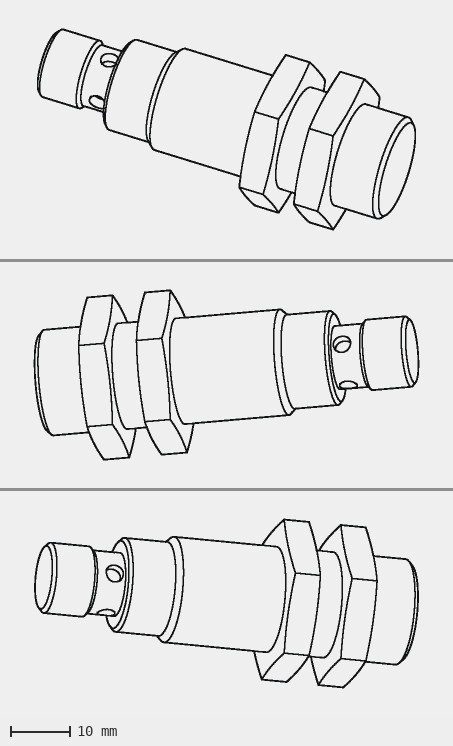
import cadquery as cq
import math

total_length = 63.5
plug_end = 7.95
collar_start = 12.9
collar_end = 20.95
barrel_start = 22.05

plug_diameter = 12.0
neck_diameter = 10.8
collar_diameter = 16.0
barrel_diameter = 18.0

plug_chamfer = 0.65
collar_chamfer = 0.6
barrel_chamfer = 0.75

neck_hole_diameter = 3.0
neck_hole_x = 11.0
neck_core_diameter = 7.0
neck_hole_angles = (0, 90, 180, 270)

nut_across_flats = 24.0
nut_thickness = 5.0
nut_chamfer_diameter = 23.75
nut_chamfer_length = 0.3
nut_spacing = 10.0
first_nut_x = 40.0
nut_positions = (first_nut_x, first_nut_x + nut_spacing)
nut_corner_radius = nut_across_flats / math.sqrt(3)


def revolve_about_x(outline):
    """Revolve a closed (x, radius) outline about the X axis."""
    return cq.Workplane("XY").polyline(outline).close().revolve(360, (0, 0, 0), (1, 0, 0))


def make_body():
    plug_radius = plug_diameter / 2
    neck_radius = neck_diameter / 2
    collar_radius = collar_diameter / 2
    barrel_radius = barrel_diameter / 2
    plug_rear_chamfer = plug_radius - neck_radius
    body = revolve_about_x([
        (0, 0),
        (0, plug_radius - plug_chamfer),
        (plug_chamfer, plug_radius),
        (plug_end - plug_rear_chamfer, plug_radius),
        (plug_end, neck_radius),
        (collar_start, neck_radius),
        (collar_start, collar_radius - collar_chamfer),
        (collar_start + collar_chamfer, collar_radius),
        (collar_end, collar_radius),
        (barrel_start, barrel_radius),
        (total_length - barrel_chamfer, barrel_radius),
        (total_length, barrel_radius - barrel_chamfer),
        (total_length, 0),
    ])
    for angle in neck_hole_angles:
        body = body.cut(make_neck_hole(angle))
    return body


def make_neck_hole(angle):
    """Cutter for one radial hole, turned about the X axis from +Z and floored by the core."""
    drill = (
        cq.Workplane("XY", origin=(neck_hole_x, 0, 0))
        .circle(neck_hole_diameter / 2)
        .extrude(neck_diameter)
    )
    core = cq.Workplane("YZ").circle(neck_core_diameter / 2).extrude(collar_start)
    return drill.cut(core).rotate((0, 0, 0), (1, 0, 0), angle)


def make_nut(start_x):
    """Nut with corners on the Y axis, conical end chamfers and a bore that fits the barrel."""
    chamfer_radius = nut_chamfer_diameter / 2
    hexagon = (
        cq.Workplane("YZ")
        .polygon(6, 2 * nut_corner_radius)
        .circle(barrel_diameter / 2)
        .extrude(nut_thickness)
    )
    chamfer_envelope = revolve_about_x([
        (0, 0),
        (0, chamfer_radius),
        (nut_chamfer_length, nut_corner_radius),
        (nut_thickness - nut_chamfer_length, nut_corner_radius),
        (nut_thickness, chamfer_radius),
        (nut_thickness, 0),
    ])
    return hexagon.intersect(chamfer_envelope).translate((start_x, 0, 0))


body = make_body()
nuts = [make_nut(start_x) for start_x in nut_positions]

result = cq.Compound.makeCompound([body.solids().val(), *[nut.solids().val() for nut in nuts]])